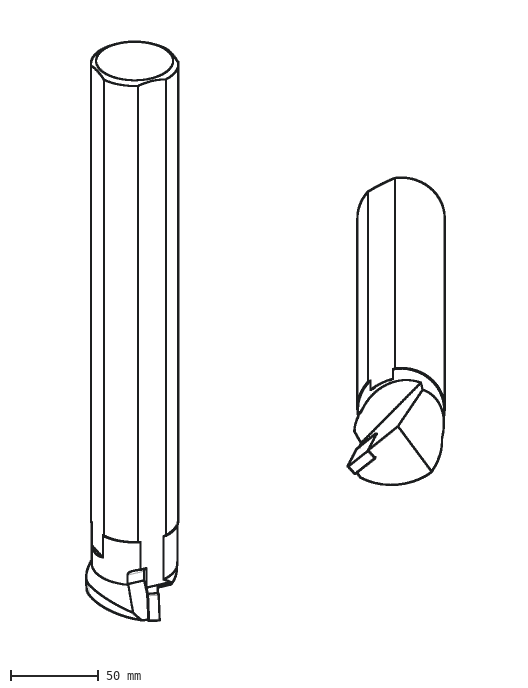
import cadquery as cq
import math


total_length = 351.5
shank_radius = 25.0
flat_distance = 23.4
neck_radius = 24.5
neck_top = 48.0
neck_bottom = 19.6
flat_bottom = 33.2
side_flat_bottom = 16.8
top_chamfer_width = 3.0
top_chamfer_height = 2.0

flare_angle = 30.0
head_reach = 28.6
nose_side_radius = 36.9
heel_radius = 18.8
heel_cut_height = 27.0
heel_cut_angle = 46.8
bottom_height = 3.15
bottom_slope_x = 0.087
bottom_slope_y = 0.09

insert_edge = 15.5
insert_angle = 55.0
insert_thickness = 6.35
insert_nose_radius = 0.8
lead_angle = 3.0
tip = cq.Vector(35.52, -0.7, -0.08)
rake_slope_x = 0.193
rake_slope_z = 0.113
flute_roof_height = 25.0
flute_roof_slope = 0.39

side_angle = 180 - lead_angle - insert_angle - 90
relief_x = 20.2
relief_kink_height = 20.0
relief_arc_bottom = 26.0
relief_top = 29.5
relief_back = -3.5

reach = 60.0
arc_mid = math.sqrt(0.5)


def side_profile_cut(profile, y_start, y_end):
    """Extrude a closed XZ profile between two Y positions."""
    return profile.extrude(y_start - y_end).translate((0, y_start, 0))


def half_space(point, normal):
    """Large block on the side of a plane that its normal points to."""
    plane = cq.Plane(origin=point, normal=normal)
    return cq.Workplane(plane).rect(4 * reach, 4 * reach).extrude(2 * reach)


def make_shank():
    profile = (
        cq.Workplane("XZ")
        .moveTo(0, neck_bottom)
        .lineTo(neck_radius, neck_bottom)
        .lineTo(neck_radius, neck_top)
        .lineTo(shank_radius, neck_top)
        .lineTo(shank_radius, total_length - top_chamfer_height)
        .lineTo(shank_radius - top_chamfer_width, total_length)
        .lineTo(0, total_length)
        .close()
    )
    shank = profile.revolve(360, (0, 0, 0), (0, 1, 0))
    for side in (-1, 1):
        flat_profile = (
            cq.Workplane("YZ")
            .moveTo(side * flat_distance, total_length)
            .lineTo(side * flat_distance, flat_bottom)
            .lineTo(side * reach, flat_bottom - (reach - flat_distance))
            .lineTo(side * reach, total_length)
            .close()
        )
        shank = shank.cut(flat_profile.extrude(reach, both=True))
    return shank


def make_head():
    cone_bottom_radius = neck_radius + neck_bottom * math.tan(math.radians(flare_angle))
    cone = (
        cq.Workplane("XZ")
        .lineTo(cone_bottom_radius, 0)
        .lineTo(neck_radius, neck_bottom)
        .lineTo(0, neck_bottom)
        .close()
        .revolve(360, (0, 0, 0), (0, 1, 0))
    )
    nose_center_y = nose_side_radius - head_reach
    heel_center_y = heel_radius - head_reach
    outline = (
        cq.Workplane("XY")
        .moveTo(-heel_radius, heel_center_y)
        .threePointArc((-heel_radius * arc_mid, heel_center_y - heel_radius * arc_mid), (0, -head_reach))
        .threePointArc(
            (nose_side_radius * arc_mid, nose_center_y - nose_side_radius * arc_mid),
            (nose_side_radius, nose_center_y),
        )
        .lineTo(nose_side_radius, reach)
        .lineTo(-heel_radius, reach)
        .close()
        .extrude(neck_bottom)
    )
    return cone.intersect(outline)


def make_flute():
    """Space in front of the rake face and below the slanted flute roof."""
    front_of_rake = half_space(tip, rake_normal)
    below_roof = half_space((0, 0, flute_roof_height), (-flute_roof_slope, 0, -1))
    return front_of_rake.intersect(below_roof)


def make_side_clearance():
    """Flat along the insert side of the bar, slanting outward beside the insert."""
    run = side_flat_bottom * math.tan(math.radians(side_angle))
    profile = (
        cq.Workplane("XZ")
        .moveTo(flat_distance, side_flat_bottom)
        .lineTo(flat_distance + run, 0)
        .lineTo(reach, 0)
        .lineTo(reach, total_length)
        .lineTo(flat_distance, total_length)
        .close()
    )
    return side_profile_cut(profile, reach, -reach)


def make_side_relief():
    """Deeper cut behind the insert, with a rounded run-out at its top."""
    run = relief_kink_height * math.tan(math.radians(side_angle))
    run_out = relief_top - relief_arc_bottom
    profile = (
        cq.Workplane("XZ")
        .moveTo(relief_x + run, 0)
        .lineTo(relief_x, relief_kink_height)
        .lineTo(relief_x, relief_arc_bottom)
        .threePointArc(
            (relief_x + run_out * (1 - arc_mid), relief_arc_bottom + run_out * arc_mid),
            (relief_x + run_out, relief_top),
        )
        .lineTo(reach, relief_top)
        .lineTo(reach, 0)
        .close()
    )
    return side_profile_cut(profile, relief_back, -reach)


def make_insert():
    lead = math.radians(lead_angle)
    edge_x = -math.cos(lead)
    edge_z = math.sin(lead)
    edge_direction = cq.Vector(edge_x, rake_slope_z * edge_z - rake_slope_x * edge_x, edge_z)
    rake_plane = cq.Plane(origin=tip, xDir=edge_direction, normal=rake_normal)
    corner = math.radians(insert_angle)
    side_x = insert_edge * math.cos(corner)
    side_y = insert_edge * math.sin(corner)
    return (
        cq.Workplane(rake_plane)
        .polyline([(0, 0), (insert_edge, 0), (insert_edge + side_x, side_y), (side_x, side_y)])
        .close()
        .extrude(-insert_thickness)
        .edges(cq.selectors.ParallelDirSelector(rake_normal))
        .fillet(insert_nose_radius)
    )


rake_normal = cq.Vector(rake_slope_x, 1, -rake_slope_z).normalized()
heel_tilt = math.radians(heel_cut_angle)

insert = make_insert()

heel_cut = half_space(
    (-neck_radius, 0, heel_cut_height),
    (-math.sin(heel_tilt), 0, -math.cos(heel_tilt)),
)
underside_cut = half_space((0, 0, bottom_height), (-bottom_slope_x, -bottom_slope_y, -1))

bar = make_shank().union(make_head())
bar = bar.cut(make_flute())
bar = bar.cut(heel_cut)
bar = bar.cut(underside_cut)
bar = bar.cut(make_side_clearance())
bar = bar.cut(make_side_relief())
bar = bar.cut(insert)

result = cq.Compound.makeCompound([*bar.solids().vals(), *insert.solids().vals()])